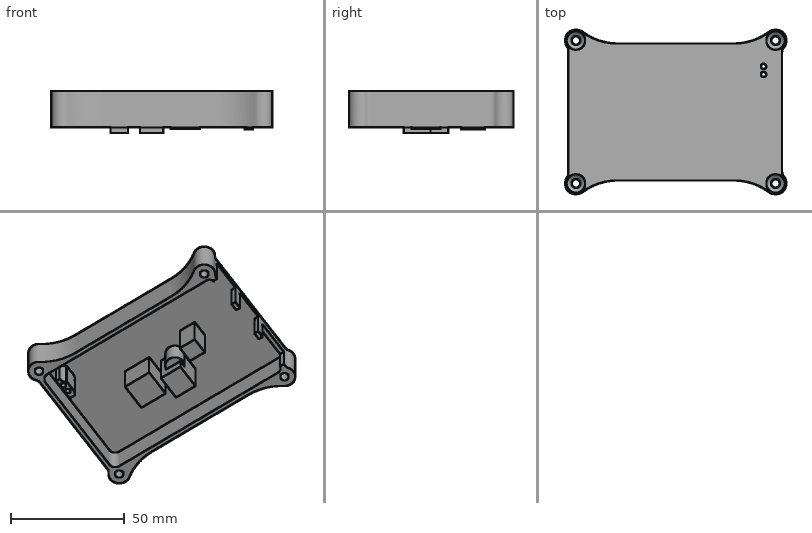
import cadquery as cq
import math

length = 97.3
width = 72.4
body_height = 16.0

post_radius = 4.8
post_x = length / 2 - post_radius
post_y = width / 2 - post_radius
screw_diameter = 3.7
countersink_diameter = 8.2
countersink_angle = 90.0

open_end_x = -47.3
plain_end_x = 46.8
side_y = 30.2
end_blend_radius = 3.0
side_blend_radius = 25.9

wall = 2.0
roof = 3.1
ceiling_z = body_height - roof
open_corner_radius = 2.3
plain_corner_radius = 3.1

openings = [
    (12.0, 26.3, ceiling_z),
    (-5.8, 8.4, ceiling_z),
    (-26.0, -9.3, 10.8),
]

pad_drop = 2.5
small_pad_x, small_pad_y, small_pad_size = -18.7, 3.6, 7.9
long_pad_x, long_pad_length = -4.5, 10.3
long_pad_low_y = -12.2
long_pad_high_y = small_pad_y - small_pad_size / 2
wide_pad_x, wide_pad_y, wide_pad_size = 10.3, -2.3, 12.8
wide_pad_drop = 0.8

pillar_radius = 4.3
pillar_y = -1.0
pillar_bottom_z = 2.4
pillar_edge_angle = 40.0

light_hole_diameter = 2.2
light_hole_x = 38.6
light_hole_ys = (16.5, 20.0)
guide_front_x, guide_back_x = 36.4, 40.1
guide_low_y, guide_high_y = 13.0, 23.6
guide_face_low_y, guide_face_high_y = 15.6, 20.7
guide_curve_radius = 3.9
guide_step = 0.5
guide_drop = 1.1


def block(x_range, y_range, z_range):
    """Box spanning the given (low, high) ranges."""
    ranges = (x_range, y_range, z_range)
    size = [high - low for low, high in ranges]
    corner = tuple(low for low, high in ranges)
    return cq.Workplane("XY").box(*size, centered=False).translate(corner)


def pad(center_x, center_y, size_x, size_y, drop):
    """Rectangular pad from the ceiling to below the rim."""
    x_range = (center_x - size_x / 2, center_x + size_x / 2)
    y_range = (center_y - size_y / 2, center_y + size_y / 2)
    return block(x_range, y_range, (-drop, ceiling_z))


def blend_tangent_points(end_x):
    """Tangent points around the +X +Y post: end wall, end blend, side blend, side wall."""
    end_reach = post_radius + end_blend_radius
    end_center_x = end_x + end_blend_radius
    end_center_y = post_y - math.sqrt(end_reach**2 - (end_center_x - post_x) ** 2)
    end_ratio = post_radius / end_reach
    end_join = (
        post_x + end_ratio * (end_center_x - post_x),
        post_y + end_ratio * (end_center_y - post_y),
    )

    side_reach = post_radius + side_blend_radius
    side_center_y = side_y + side_blend_radius
    side_center_x = post_x - math.sqrt(side_reach**2 - (side_center_y - post_y) ** 2)
    side_ratio = post_radius / side_reach
    side_join = (
        post_x + side_ratio * (side_center_x - post_x),
        post_y + side_ratio * (side_center_y - post_y),
    )
    return (end_x, end_center_y), end_join, side_join, (side_center_x, side_y)


def quarter_body(end_x):
    """Quarter of the body in +X +Y: end wall at end_x, tangent blends and corner post."""
    end_start, end_join, side_join, side_end = blend_tangent_points(end_x)
    diagonal = post_radius * math.sqrt(0.5)
    post_outer_point = (post_x + diagonal, post_y + diagonal)
    return (
        cq.Workplane("XY")
        .lineTo(end_x, 0)
        .lineTo(*end_start)
        .radiusArc(end_join, end_blend_radius)
        .threePointArc(post_outer_point, side_join)
        .radiusArc(side_end, side_blend_radius)
        .lineTo(0, side_y)
        .close()
        .extrude(body_height)
    )


def outer_body():
    half = quarter_body(plain_end_x).union(quarter_body(-open_end_x).mirror("YZ"))
    return half.union(half.mirror("XZ")).clean()


def cavity():
    inner_x = (open_end_x + wall, plain_end_x - wall)
    inner_y = (wall - side_y, side_y - wall)
    space = block(inner_x, inner_y, (0, ceiling_z))
    space = space.edges("|Z and <X").fillet(open_corner_radius)
    return space.edges("|Z and >X").fillet(plain_corner_radius)


def pillar():
    pad_face_x = long_pad_x - long_pad_length / 2
    center_x = pad_face_x + pillar_radius * math.cos(math.radians(pillar_edge_angle))
    return (
        cq.Workplane("XY", origin=(center_x, pillar_y, pillar_bottom_z))
        .circle(pillar_radius)
        .extrude(ceiling_z - pillar_bottom_z)
    )


def curve_depth(span):
    """Depth gained along an arc that starts tangent to Y and runs over span."""
    return guide_curve_radius - math.sqrt(guide_curve_radius**2 - span**2)


def light_guide():
    """Bar with a convex curve at its low-Y end and a concave one at its high-Y end."""
    low_x = guide_front_x + curve_depth(guide_face_low_y - guide_low_y)
    step_x = guide_front_x + guide_step
    high_x = step_x + curve_depth(guide_high_y - guide_face_high_y)
    return (
        cq.Workplane("XY", origin=(0, 0, -guide_drop))
        .moveTo(guide_back_x, guide_low_y)
        .lineTo(low_x, guide_low_y)
        .radiusArc((guide_front_x, guide_face_low_y), guide_curve_radius)
        .lineTo(guide_front_x, guide_face_high_y)
        .lineTo(step_x, guide_face_high_y)
        .radiusArc((high_x, guide_high_y), -guide_curve_radius)
        .lineTo(guide_back_x, guide_high_y)
        .close()
        .extrude(ceiling_z + guide_drop)
    )


result = outer_body().cut(cavity())
for low_y, high_y, top_z in openings:
    result = result.cut(block((-length / 2, open_end_x + wall), (low_y, high_y), (0, top_z)))

long_pad_y = (long_pad_low_y + long_pad_high_y) / 2
long_pad_width = long_pad_high_y - long_pad_low_y
result = result.union(pad(small_pad_x, small_pad_y, small_pad_size, small_pad_size, pad_drop))
result = result.union(pad(long_pad_x, long_pad_y, long_pad_length, long_pad_width, pad_drop))
result = result.union(pad(wide_pad_x, wide_pad_y, wide_pad_size, wide_pad_size, wide_pad_drop))
result = result.union(pillar())
result = result.union(light_guide())

top = result.faces(">Z").workplane(origin=(0, 0, body_height))
result = (
    top.rect(2 * post_x, 2 * post_y, forConstruction=True)
    .vertices()
    .cskHole(screw_diameter, countersink_diameter, countersink_angle)
)
top = result.faces(">Z").workplane(origin=(0, 0, body_height))
result = top.pushPoints([(light_hole_x, y) for y in light_hole_ys]).hole(light_hole_diameter)